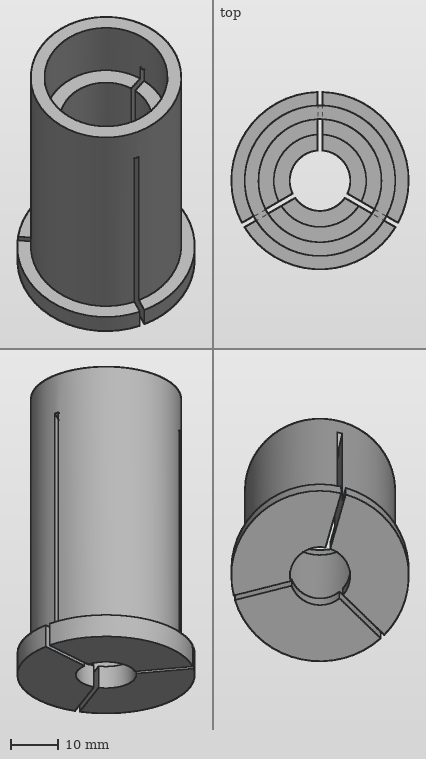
import cadquery as cq

total_height = 64.6
flange_diameter = 37.5
flange_thickness = 5.05
tube_diameter = 31.8

socket_diameter = 26.0
socket_depth = 15.0
middle_diameter = 19.5
bottom_diameter = 12.7
bottom_land_height = 5.05

slot_count = 3
slot_width = 1.05
slot_top_gap = 9.0
slot_end_drop = 2.2
first_slot_angle = 90.0


def cylinder(diameter, bottom, top):
    """Cylinder on the Z axis between two heights."""
    return cq.Workplane("XY").workplane(offset=bottom).circle(diameter / 2).extrude(top - bottom)


def slot(angle):
    """Radial slot open at the base, its upper end falling towards the axis across the tube wall."""
    inner_radius = socket_diameter / 2
    outer_radius = tube_diameter / 2
    outer_top = total_height - slot_top_gap
    inner_top = outer_top - slot_end_drop
    profile = [
        (0, 0),
        (flange_diameter, 0),
        (flange_diameter, outer_top),
        (outer_radius, outer_top),
        (inner_radius, inner_top),
        (0, inner_top),
    ]
    blade = cq.Workplane("XZ").polyline(profile).close().extrude(slot_width / 2, both=True)
    return blade.rotate((0, 0, 0), (0, 0, 1), angle)


result = cylinder(flange_diameter, 0, flange_thickness)
result = result.union(cylinder(tube_diameter, 0, total_height))

socket_floor = total_height - socket_depth
result = result.cut(cylinder(bottom_diameter, 0, total_height))
result = result.cut(cylinder(middle_diameter, bottom_land_height, total_height))
result = result.cut(cylinder(socket_diameter, socket_floor, total_height))

for index in range(slot_count):
    result = result.cut(slot(first_slot_angle + index * 360 / slot_count))